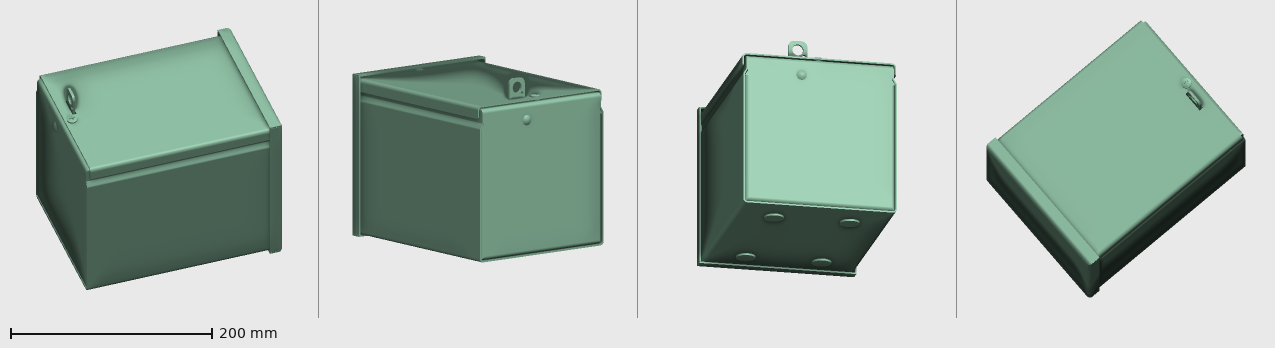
import cadquery as cq
import math


SHEET = 1.6
BEND = 4.1

HOOD_WIDTH = 160.0
HOOD_DEPTH = 13.7
HOOD_TOP = 161.8
HOOD_SEAM = 0.2
TOTAL_LENGTH = 207.0
TOTAL_TOP = 177.8

RIVET_HEAD_D = 10.3
RIVET_HEAD_H = 1.9
RIVET_SHANK_D = 5.2

LID_TOP = 157.5
LID_GAP = 1.7
LID_UNDERSIDE = LID_TOP - SHEET
BOX_TOP = LID_UNDERSIDE - LID_GAP

HOOD_BACK = TOTAL_LENGTH - RIVET_HEAD_H
BODY_LENGTH = HOOD_BACK - BEND

HOOD_SIDE_GAP = 0.2
WRAPPER_WIDTH = HOOD_WIDTH - 2 * (SHEET + HOOD_SIDE_GAP)
STEP_BOTTOM = 135.0
STEP_TOP = 140.5
STEP_IN = SHEET + LID_GAP
STEP_LOWER_BEND = 3.0
STEP_UPPER_BEND = STEP_LOWER_BEND - SHEET
BOSS_D = 19.7
BOSS_H = 2.0
BOSS_SPACING_X = 77.2
BOSS_SPACING_Y = 127.5
BOSS_CENTER_Y = 101.6

EYE_WIDTH = 19.2
EYE_THICKNESS = 2.5
EYE_X = -19.2
EYE_FRONT = 15.1
EYE_CORNER = 5.8
EYE_HOLE_D = 11.2
EYE_HOLE_Z = 168.5
SEAL_HOLE_D = 3.1
SEAL_HOLE_X = -12.8
SEAL_HOLE_Z = 162.0

PAN_WIDTH = WRAPPER_WIDTH - 2 * SHEET
PAN_NECK_WIDTH = PAN_WIDTH - 2 * STEP_IN
PAN_FLANGE_TOP = 133.3
PAN_TAPER_TOP = 138.6
PAN_DEPTH = EYE_FRONT

LID_FRONT = 3.5
LID_SKIRT_BOTTOM = 144.7
LID_SKIRT_CORNER = 1.7
SLOT_LENGTH = 21.7
SLOT_WIDTH = 4.1
SLOT_X = -18.8

SCREW_Y = 11.0
SCREW_HEAD_D = 10.3
SCREW_HEAD_H = 2.59
SCREW_RIM_H = 1.5
SCREW_SHANK_D = 5.0
SCREW_TIP_Z = 148.0
DRIVE_WIDTH = 1.0
DRIVE_DEPTH = 1.0
DRIVE_CROSS = 6.6
WASHER_D = 11.5

END_RIVET_X = -18.8
END_RIVET_Z = 137.5
LID_RIVET_Y = 197.2


def block(width, y_start, y_end, z_start, z_end):
    """A box centred on X = 0 between the given Y and Z limits."""
    size_y = y_end - y_start
    size_z = z_end - z_start
    return (
        cq.Workplane("XY")
        .box(width, size_y, size_z, centered=(True, False, False))
        .translate((0, y_start, z_start))
    )


def rod(diameter, x, y, z_start, z_end):
    """An upright cylinder between two heights."""
    return (
        cq.Workplane("XY", origin=(x, y, z_start))
        .circle(diameter / 2)
        .extrude(z_end - z_start)
    )


def dome(diameter, height):
    """A spherical cap with its flat side on Z = 0."""
    radius = diameter / 2
    sphere_radius = (radius**2 + height**2) / (2 * height)
    slant = math.asin(radius / sphere_radius) / 2
    middle = (
        sphere_radius * math.sin(slant),
        height - sphere_radius * (1 - math.cos(slant)),
    )
    return (
        cq.Workplane("XZ")
        .lineTo(radius, 0)
        .threePointArc(middle, (0, height))
        .close()
        .revolve(360, (0, 0, 0), (0, 1, 0))
    )


def make_wrapper():
    half = WRAPPER_WIDTH / 2
    neck = half - STEP_IN
    body = (
        cq.Workplane("XZ")
        .polyline([
            (-half, 0), (half, 0), (half, STEP_BOTTOM), (neck, STEP_TOP),
            (neck, BOX_TOP), (-neck, BOX_TOP), (-neck, STEP_TOP), (-half, STEP_BOTTOM),
        ])
        .close()
        .extrude(-BODY_LENGTH)
    )
    for height, radius in ((0, BEND), (STEP_BOTTOM, STEP_LOWER_BEND), (STEP_TOP, STEP_UPPER_BEND)):
        bend_zone = cq.selectors.BoxSelector(
            (-half - 2, 0, height - SHEET), (half + 2, BODY_LENGTH, height + SHEET)
        )
        body = body.edges("|Y").edges(bend_zone).fillet(radius)
    body = body.faces("<Y or >Y or >Z").shell(-SHEET)
    body = body.faces(">Z").edges("<Y").fillet(BEND)

    for side_x in (-1, 1):
        for side_y in (-1, 1):
            x = side_x * BOSS_SPACING_X / 2
            y = BOSS_CENTER_Y + side_y * BOSS_SPACING_Y / 2
            body = body.union(rod(BOSS_D, x, y, -BOSS_H, SHEET))
            body = body.cut(rod(BOSS_D - 2 * SHEET, x, y, SHEET - BOSS_H, SHEET))
    return body


def make_pan():
    tray = block(PAN_WIDTH, 0, PAN_DEPTH, SHEET, PAN_FLANGE_TOP)
    tray = tray.faces("<Y").edges("|Z or <Z").fillet(BEND)
    tray = tray.faces(">Y or >Z").shell(-SHEET)
    rounded_envelope = block(PAN_WIDTH, 0, PAN_DEPTH, SHEET, PAN_FLANGE_TOP)
    rounded_envelope = rounded_envelope.faces("<Z").edges("|Y").fillet(BEND - SHEET)
    tray = tray.intersect(rounded_envelope)

    shoulder = (
        cq.Workplane("XZ")
        .polyline([
            (-PAN_WIDTH / 2, PAN_FLANGE_TOP), (PAN_WIDTH / 2, PAN_FLANGE_TOP),
            (PAN_NECK_WIDTH / 2, PAN_TAPER_TOP), (-PAN_NECK_WIDTH / 2, PAN_TAPER_TOP),
        ])
        .close()
        .extrude(-SHEET)
    )

    neck = block(PAN_NECK_WIDTH, 0, PAN_DEPTH, PAN_TAPER_TOP, BOX_TOP)
    neck = neck.faces("<Y").edges(">Z").fillet(BEND)
    neck = neck.faces(">Y or <Z or <X or >X").shell(-SHEET)
    neck = neck.cut(rod(SCREW_SHANK_D, 0, SCREW_Y, SCREW_TIP_Z, BOX_TOP))

    rivet_hole = (
        cq.Workplane("XZ", origin=(END_RIVET_X, 0, END_RIVET_Z))
        .circle(RIVET_SHANK_D / 2)
        .extrude(-SHEET)
    )
    return tray.union(shoulder).union(neck).cut(rivet_hole)


def make_hood():
    hood = block(HOOD_WIDTH, HOOD_BACK - HOOD_DEPTH, HOOD_BACK, -SHEET, HOOD_TOP)
    hood = hood.faces(">Y").edges().fillet(BEND)
    hood = hood.faces("<Y").shell(-SHEET)

    for seam_bottom in (0, HOOD_TOP - SHEET - HOOD_SEAM):
        seam = block(
            HOOD_WIDTH, HOOD_BACK - HOOD_DEPTH, HOOD_BACK - BEND, seam_bottom, seam_bottom + HOOD_SEAM
        )
        hood = hood.cut(seam)
    return hood


def make_lid():
    lid = block(WRAPPER_WIDTH, LID_FRONT, BODY_LENGTH, LID_SKIRT_BOTTOM, LID_TOP)
    lid = lid.faces(">Z").edges("|Y").fillet(BEND)
    lid = lid.faces("<Y or >Y or <Z").shell(-SHEET)
    lid = lid.faces("<Z").edges("<Y").fillet(LID_SKIRT_CORNER)
    slot = (
        cq.Workplane("XY", origin=(SLOT_X, EYE_FRONT + EYE_THICKNESS / 2, LID_UNDERSIDE))
        .rect(SLOT_LENGTH, SLOT_WIDTH)
        .extrude(SHEET)
    )
    screw_hole = rod(SCREW_SHANK_D, 0, SCREW_Y, LID_UNDERSIDE, LID_TOP)
    rivet_hole = rod(RIVET_SHANK_D, 0, LID_RIVET_Y, LID_UNDERSIDE, LID_TOP)
    return lid.cut(slot).cut(screw_hole).cut(rivet_hole)


def make_eye():
    bottom = BOX_TOP - SHEET
    plate = block(EYE_WIDTH, EYE_FRONT, EYE_FRONT + EYE_THICKNESS, bottom, TOTAL_TOP)
    plate = plate.edges("|Y and >Z").fillet(EYE_CORNER).translate((EYE_X, 0, 0))
    for x, z, diameter in (
        (EYE_X, EYE_HOLE_Z, EYE_HOLE_D),
        (SEAL_HOLE_X, SEAL_HOLE_Z, SEAL_HOLE_D),
    ):
        hole = (
            cq.Workplane("XZ", origin=(x, EYE_FRONT, z))
            .circle(diameter / 2)
            .extrude(-EYE_THICKNESS)
        )
        plate = plate.cut(hole)
    return plate


def make_screw():
    head_top = LID_TOP + SCREW_HEAD_H
    rim_top = LID_TOP + SCREW_RIM_H
    crown = dome(SCREW_HEAD_D, SCREW_HEAD_H - SCREW_RIM_H).translate((0, SCREW_Y, rim_top))
    screw = rod(SCREW_HEAD_D, 0, SCREW_Y, LID_TOP, rim_top).union(crown)
    screw = screw.union(rod(SCREW_SHANK_D, 0, SCREW_Y, SCREW_TIP_Z, LID_TOP))

    for length, width in ((SCREW_HEAD_D, DRIVE_WIDTH), (DRIVE_WIDTH, DRIVE_CROSS)):
        groove = block(
            length, SCREW_Y - width / 2, SCREW_Y + width / 2, head_top - DRIVE_DEPTH, head_top
        )
        screw = screw.cut(groove)
    return screw


def make_washer():
    washer = rod(WASHER_D, 0, SCREW_Y, BOX_TOP, LID_UNDERSIDE)
    return washer.cut(rod(SCREW_SHANK_D, 0, SCREW_Y, BOX_TOP, LID_UNDERSIDE))


def make_rivet():
    """A rivet that points up, with its head on Z = 0 and its shank one sheet deep."""
    return dome(RIVET_HEAD_D, RIVET_HEAD_H).union(rod(RIVET_SHANK_D, 0, 0, -SHEET, 0))


wrapper = make_wrapper()
pan = make_pan()
hood = make_hood()
lid = make_lid()
eye = make_eye()
screw = make_screw()
washer = make_washer()

rivets = []
for tilt, place in (
    (90, (END_RIVET_X, 0, END_RIVET_Z)),
    (0, (0, LID_RIVET_Y, LID_TOP)),
):
    rivet = make_rivet().rotate((0, 0, 0), (1, 0, 0), tilt).translate(place)
    rivets.append(rivet.val())

result = cq.Compound.makeCompound([
    wrapper.val(),
    pan.val(),
    hood.val(),
    lid.val(),
    eye.val(),
    screw.val(),
    washer.val(),
    *rivets,
])